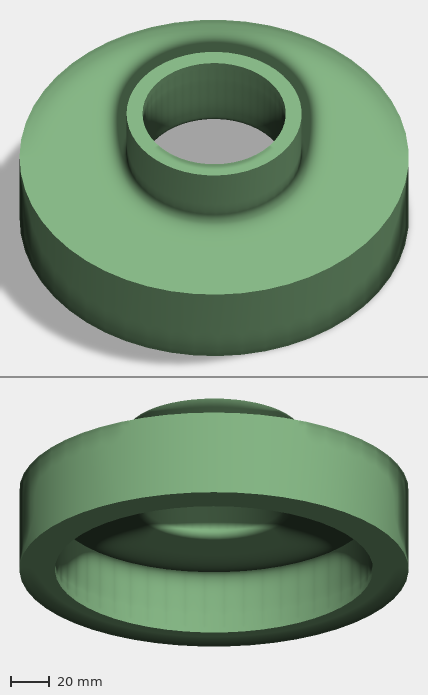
import cadquery as cq

flange_diameter = 199.9
flange_thickness = 44.5
hub_diameter = 90.0
bore_diameter = 73.5
recess_diameter = 163.5
recess_depth = 33.8
total_height = 76.2
fillet_radius = 3.2


def disc(diameter, height):
    """Solid cylinder on the Z axis, standing on the XY plane."""
    return cq.Workplane("XY").circle(diameter / 2).extrude(height)


def ring_edge(diameter, height):
    """Box selector around the circular edge of a given diameter and height."""
    reach = diameter / 2 + 0.2
    half_band = 0.2
    return cq.selectors.BoxSelector(
        (-reach, -reach, height - half_band),
        (reach, reach, height + half_band),
        boundingbox=True,
    )


body = disc(flange_diameter, flange_thickness).union(disc(hub_diameter, total_height))

body = body.cut(disc(recess_diameter, recess_depth))
body = body.cut(disc(bore_diameter, total_height))

body = body.edges(ring_edge(hub_diameter, flange_thickness)).fillet(fillet_radius)
result = body.edges(ring_edge(bore_diameter, recess_depth)).fillet(fillet_radius)